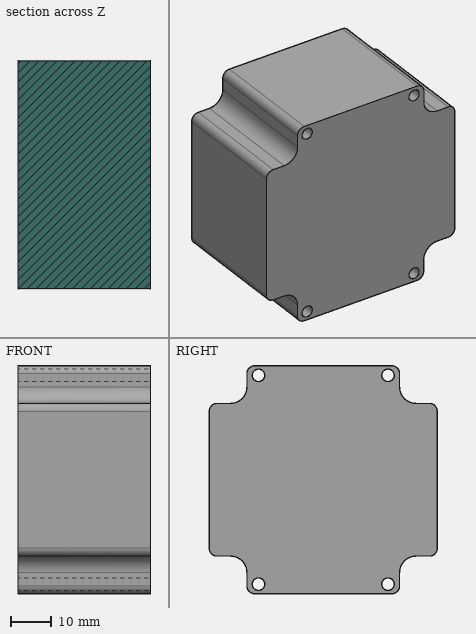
import cadquery as cq

length = 32.8
width = 56.4

notch_depth = 9.3
outer_radius = 2.0
inner_radius = 4.0

hole_diameter = 3.04
hole_spacing_y = 32.0
hole_spacing_z = 51.6


def cross_body():
    """Square block with its four corners notched, all long edges rounded."""
    arm_width = width - 2 * notch_depth
    tall_arm = cq.Workplane("YZ").rect(arm_width, width).extrude(length)
    wide_arm = cq.Workplane("YZ").rect(width, arm_width).extrude(length)
    body = tall_arm.union(wide_arm)

    reach = width / 2 - notch_depth / 2
    concave_edges = cq.selectors.BoxSelector((0, -reach, -reach), (length, reach, reach))
    body = body.edges("|X").edges(concave_edges).fillet(inner_radius)
    convex_edges = body.edges("|X and (<Y or >Y or <Z or >Z)")
    return convex_edges.fillet(outer_radius)


def mounting_holes():
    """Four through holes near the ends of the tall arm."""
    return (
        cq.Workplane("YZ")
        .rect(hole_spacing_y, hole_spacing_z, forConstruction=True)
        .vertices()
        .circle(hole_diameter / 2)
        .extrude(length)
    )


result = cross_body().cut(mounting_holes())